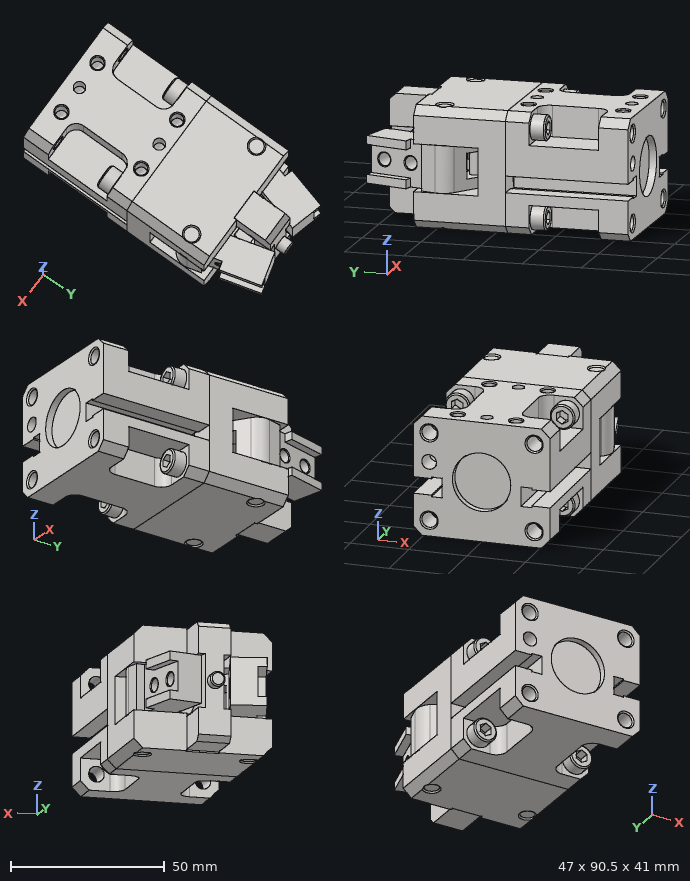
import cadquery as cq
import math

width = 47.0
height = 41.0
edge_chamfer = 3.0
cylinder_length = 41.5
housing_length = 31.0
housing_end = cylinder_length + housing_length

bolt_x = 18.0
bolt_z = 15.0
rear_flange = 10.0
front_flange = 8.0
pocket_web_half_width = 9.5
pocket_floor_z = 10.0
pocket_corner_radius = 4.0
bolt_head_diameter = 8.5
bolt_head_length = 5.0
bolt_head_chamfer = 0.5
bolt_socket_flats = 4.0
bolt_socket_depth = 4.0
rear_thread_diameter = 5.2
rear_thread_chamfer = 0.5
cap_recess_diameter = 20.0
cap_recess_depth = 2.5
port_diameter = 5.0
port_z = 5.0
port_depth = 8.0
slot_z = -3.5
slot_mouth_width = 5.6
slot_inner_width = 6.7
slot_floor_x = 13.5
slot_mouth_x = 17.2
mount_rows_y = (5.5, 37.5)
mount_thread_x = 10.0
mount_thread_diameter = 4.2
mount_thread_chamfer = 0.4
dowel_diameter = 4.0
mount_hole_depth = 8.0
drill_point_angle = 118.0

bore_diameter = 30.0
bore_depth = 3.0
window_half_height = 8.0
window_floor_y = 50.8
pivot_x = 18.0
pivot_y = 63.5
pivot_recess_diameter = 6.0
pivot_recess_depth = 0.5
stop_half_width = 5.5
stop_half_height = 20.0
stop_end_y = 86.0
stop_chamfer = 2.0
stop_seat_depth = 1.0
stop_fork_half_height = 9.0
stop_web_start_y = 77.2
stop_web_chamfer = 2.0
stop_pin_diameter = 5.0
stop_pin_end_y = 89.9
stop_pin_chamfer = 0.5
rod_diameter = 8.1
rod_end_y = 54.4

jaw_angle = 15.0
jaw_hub_radius = 5.5
jaw_hub_v = 0.5
jaw_tip_v = 26.5
jaw_width = 12.0
jaw_step_depth = 3.0
jaw_rail_length = 15.0
jaw_neck_length = 6.0
jaw_groove_half_width = 5.0
jaw_hole_diameter = 4.4
jaw_hole_chamfer = 0.3
jaw_hole_offsets = (5.0, 15.0)
tail_u = 11.0
tail_drop = 5.5
tail_radius = 4.2
tail_slot_half_height = 4.3
tail_slot_depth = 6.5
tail_pin_diameter = 4.0


def box(x0, x1, y0, y1, z0, z1):
    """Block between the given X, Y and Z limits."""
    return cq.Workplane("XY").box(x1 - x0, y1 - y0, z1 - z0, centered=False).translate((x0, y0, z0))


def y_cylinder(diameter, y0, y1, x=0.0, z=0.0):
    """Round bar along +Y from y0 to y1."""
    return cq.Workplane("XZ", origin=(x, y0, z)).circle(diameter / 2).extrude(y0 - y1)


def chamfered_block(y0, y1):
    """Block of the common section with its four long edges chamfered."""
    block = box(-width / 2, width / 2, y0, y1, -height / 2, height / 2)
    return block.edges("|Y").chamfer(edge_chamfer)


def cone(top_radius, bottom_radius, depth):
    """Cone frustum from Z = 0 down to -depth."""
    return cq.Workplane(cq.Solid.makeCone(top_radius, bottom_radius, depth, dir=cq.Vector(0, 0, -1)))


def drilled_hole(diameter, depth, mouth_chamfer=0.0):
    """Blind hole cutter below Z = 0 with a conical end and an optional mouth chamfer."""
    radius = diameter / 2
    point = radius / math.tan(math.radians(drill_point_angle / 2))
    bore = cq.Workplane("XY").circle(radius).extrude(-depth)
    hole = bore.union(cone(radius, 0, point).translate((0, 0, -depth)))
    if mouth_chamfer > 0:
        hole = hole.union(cone(radius + mouth_chamfer, radius, mouth_chamfer))
    return hole


def bolt_pocket(side_x, side_z):
    """Open pocket at one long edge that exposes a bolt head."""
    pocket = box(
        pocket_web_half_width, width, rear_flange, cylinder_length - front_flange, pocket_floor_z, height
    )
    pocket = pocket.edges("|Z and <X").fillet(pocket_corner_radius)
    if side_x < 0:
        pocket = pocket.mirror("YZ")
    if side_z < 0:
        pocket = pocket.mirror("XY")
    return pocket


def bolt_head(x, z):
    """Socket head standing on the front flange, socket facing -Y."""
    seat_y = cylinder_length - front_flange
    top_y = seat_y - bolt_head_length
    head = y_cylinder(bolt_head_diameter, top_y, seat_y, x, z)
    head = head.faces("<Y").edges().chamfer(bolt_head_chamfer)
    socket = (
        cq.Workplane("XZ", origin=(x, top_y, z))
        .polygon(6, bolt_socket_flats, circumscribed=True)
        .extrude(-bolt_socket_depth)
    )
    return head.cut(socket)


def rear_thread_hole(x, z):
    """Through hole in the rear flange with a chamfered mouth."""
    radius = rear_thread_diameter / 2
    mouth = cone(radius + rear_thread_chamfer, radius, rear_thread_chamfer)
    mouth = mouth.rotate((0, 0, 0), (1, 0, 0), 90).translate((x, 0, z))
    return y_cylinder(rear_thread_diameter, 0, rear_flange, x, z).union(mouth)


def sensor_slot(side):
    """T-slot along one flank, narrower at the mouth."""
    mouth = box(
        slot_floor_x, width, 0, cylinder_length,
        slot_z - slot_mouth_width / 2, slot_z + slot_mouth_width / 2,
    )
    inner = box(
        slot_floor_x, slot_mouth_x, 0, cylinder_length,
        slot_z - slot_inner_width / 2, slot_z + slot_inner_width / 2,
    )
    slot = mouth.union(inner)
    return slot if side > 0 else slot.mirror("YZ")


def make_cylinder():
    """Cylinder block with sensor slots, bolt heads, cap recess, air port and mounting holes."""
    body = chamfered_block(0, cylinder_length)
    for side_x in (-1, 1):
        body = body.cut(sensor_slot(side_x))
        for side_z in (-1, 1):
            x = side_x * bolt_x
            z = side_z * bolt_z
            body = body.cut(bolt_pocket(side_x, side_z))
            body = body.cut(rear_thread_hole(x, z))
            body = body.union(bolt_head(x, z))

    body = body.cut(y_cylinder(cap_recess_diameter, 0, cap_recess_depth))

    port = drilled_hole(port_diameter, port_depth).rotate((0, 0, 0), (1, 0, 0), 90)
    body = body.cut(port.translate((-bolt_x, 0, port_z)))

    thread = drilled_hole(mount_thread_diameter, mount_hole_depth, mount_thread_chamfer)
    dowel = drilled_hole(dowel_diameter, mount_hole_depth)
    for y in mount_rows_y:
        body = body.cut(dowel.translate((0, y, height / 2)))
        for x in (-mount_thread_x, mount_thread_x):
            body = body.cut(thread.translate((x, y, height / 2)))
    return body


def stop_block():
    """Forked stop with a tapered web between its prongs and a pin on its end."""
    start_y = housing_end - stop_seat_depth
    block = box(-stop_half_width, stop_half_width, start_y, stop_end_y, -stop_half_height, stop_half_height)
    block = block.edges("|X and >Y").chamfer(stop_chamfer)
    fork = box(-width, width, start_y, stop_end_y, -stop_fork_half_height, stop_fork_half_height)
    return block.cut(fork).union(stop_web()).union(stop_pin())


def stop_web():
    """Web that narrows at the jaw angle towards the stop end, relieved by an arch at its inner end."""
    web_length = stop_end_y - stop_web_start_y
    end_half_width = stop_half_width - web_length * math.tan(math.radians(jaw_angle))
    web = (
        cq.Workplane("XY", origin=(0, 0, -stop_fork_half_height))
        .moveTo(-stop_half_width, stop_web_start_y)
        .lineTo(stop_half_width, stop_web_start_y)
        .lineTo(end_half_width, stop_end_y)
        .lineTo(-end_half_width, stop_end_y)
        .close()
        .extrude(2 * stop_fork_half_height)
    )
    arch = (
        cq.Workplane("YZ", origin=(-width / 2, 0, 0))
        .moveTo(stop_web_start_y, -stop_fork_half_height)
        .lineTo(stop_web_start_y + stop_web_chamfer, stop_web_chamfer - stop_fork_half_height)
        .lineTo(stop_web_start_y + stop_web_chamfer, stop_fork_half_height - stop_web_chamfer)
        .lineTo(stop_web_start_y, stop_fork_half_height)
        .close()
        .extrude(width)
    )
    return web.cut(arch)


def stop_pin():
    """Round pin standing on the stop end."""
    pin = y_cylinder(stop_pin_diameter, stop_end_y, stop_pin_end_y)
    return pin.faces(">Y").edges().chamfer(stop_pin_chamfer)


def make_housing():
    """Jaw housing with its window, pivot recesses, bore, piston rod and stop block."""
    body = chamfered_block(cylinder_length, housing_end)
    window = box(-width, width, window_floor_y, housing_end, -window_half_height, window_half_height)
    seat = box(
        -stop_half_width, stop_half_width, housing_end - stop_seat_depth, housing_end, -height, height
    )
    body = body.cut(window).cut(seat)

    top_radius = pivot_recess_diameter / 2
    recess = cone(top_radius, top_radius - pivot_recess_depth, pivot_recess_depth)
    for x in (-pivot_x, pivot_x):
        upper_recess = recess.translate((x, pivot_y, height / 2))
        body = body.cut(upper_recess).cut(upper_recess.mirror("XY"))

    body = body.cut(y_cylinder(bore_diameter, cylinder_length, cylinder_length + bore_depth))
    body = body.union(y_cylinder(rod_diameter, window_floor_y, rod_end_y))
    return body.union(stop_block())


def make_left_jaw():
    """Jaw with a grooved finger, a round hub and a forked tail lever."""
    outer_u = -jaw_hub_radius
    inner_u = outer_u + jaw_width
    step_u = outer_u + jaw_step_depth
    rail_end_v = jaw_tip_v - jaw_rail_length
    hub_top_v = rail_end_v - jaw_neck_length
    tail_v = jaw_hub_v - tail_drop
    bottom_z = -window_half_height
    thickness = 2 * window_half_height

    def plate(*points):
        return cq.Workplane("XY", origin=(0, 0, bottom_z)).polyline(points).close().extrude(thickness)

    def disc(u, v, radius):
        return cq.Workplane("XY", origin=(u, v, bottom_z)).circle(radius).extrude(thickness)

    arm = plate(
        (outer_u, jaw_tip_v), (inner_u, jaw_tip_v), (inner_u, jaw_hub_v), (outer_u, jaw_hub_v),
        (outer_u, hub_top_v), (step_u, hub_top_v), (step_u, rail_end_v), (outer_u, rail_end_v),
    )

    lever_length = math.hypot(tail_u, tail_drop)
    lever_angle = math.atan2(-tail_drop, tail_u)
    tangent_turn = math.acos((jaw_hub_radius - tail_radius) / lever_length)

    def on_circle(u, v, radius, angle):
        return (u + radius * math.cos(angle), v + radius * math.sin(angle))

    low = lever_angle - tangent_turn
    high = lever_angle + tangent_turn
    lever = plate(
        on_circle(0, jaw_hub_v, jaw_hub_radius, low), on_circle(tail_u, tail_v, tail_radius, low),
        on_circle(tail_u, tail_v, tail_radius, high), on_circle(0, jaw_hub_v, jaw_hub_radius, high),
    )
    jaw = arm.union(lever).union(disc(0, jaw_hub_v, jaw_hub_radius)).union(disc(tail_u, tail_v, tail_radius))

    jaw = jaw.cut(
        box(outer_u, step_u, rail_end_v, jaw_tip_v, -jaw_groove_half_width, jaw_groove_half_width)
    )
    hole = drilled_hole(jaw_hole_diameter, jaw_width, jaw_hole_chamfer).rotate((0, 0, 0), (0, 1, 0), -90)
    for offset in jaw_hole_offsets:
        jaw = jaw.cut(hole.translate((step_u, jaw_tip_v - offset, 0)))

    slot = box(
        -tail_slot_depth, 2 * tail_radius, -jaw_width, jaw_width,
        -tail_slot_half_height, tail_slot_half_height,
    )
    slot = slot.rotate((0, 0, 0), (0, 0, 1), math.degrees(lever_angle)).translate((tail_u, tail_v, 0))
    jaw = jaw.cut(slot).union(disc(tail_u, tail_v, tail_pin_diameter / 2))

    return jaw.rotate((0, 0, 0), (0, 0, 1), -jaw_angle).translate((-pivot_x, pivot_y, 0))


cylinder = make_cylinder()
housing = make_housing()
left_jaw = make_left_jaw()
right_jaw = left_jaw.mirror("YZ")

result = cq.Compound.makeCompound(
    [cylinder.val(), housing.val(), left_jaw.val(), right_jaw.val()]
)